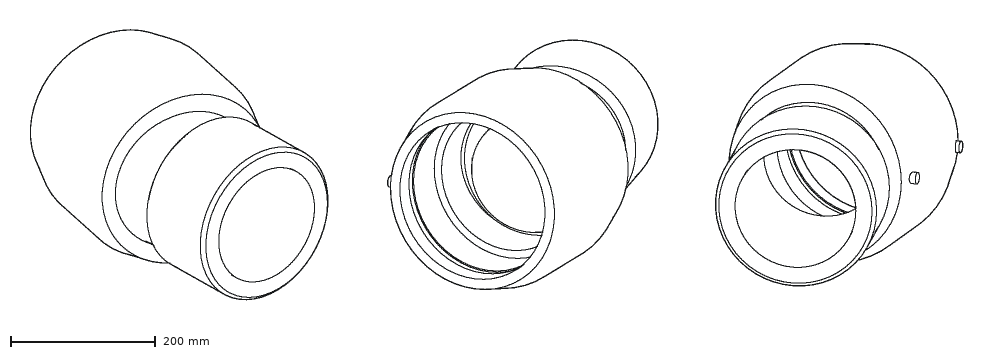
import cadquery as cq
import math

socket_length = 224.0
socket_diameter = 282.0
socket_end_diameter = 254.5
socket_taper_length = 52.5

socket_bore_diameter = 225.0
stop_depth = 104.5
groove_start = 27.5
groove_end = 41.5
groove_diameter = 229.0

bend_angle = 12.0
spigot_diameter = socket_bore_diameter
spigot_bore_diameter = 168.5
neck_diameter = 202.5
shoulder_start = 47.0
shoulder_length = 11.0
spigot_end = 182.5
end_chamfer = 5.5

flare_start = -34.0
flare_end = -4.2
flare_angle = 10.0

chamber_diameter = neck_diameter
chamber_end = -38.2
nozzle_tip = -83.5
nozzle_tip_angle = 8.0
nozzle_root_diameter = 213.3

terminal_diameter = 16.0
terminal_inset = 26.5
terminal_root = 123.0


def turned_around_x(profile):
    """Revolve (position, radius) points around the X axis."""
    return cq.Workplane("XY").polyline(profile).close().revolve(360, (0, 0, 0), (1, 0, 0))


def on_spigot_axis(body):
    """Move a body built along X from the origin onto the tilted spigot axis."""
    return body.rotate((0, 0, 0), (0, 0, 1), bend_angle).translate((socket_length, 0, 0))


def cylinder_along_x(start, end, diameter):
    return cq.Workplane("YZ").workplane(offset=start).circle(diameter / 2).extrude(end - start)


def make_socket():
    return turned_around_x([
        (0, 0),
        (0, socket_end_diameter / 2),
        (socket_taper_length, socket_diameter / 2),
        (socket_length - socket_taper_length, socket_diameter / 2),
        (socket_length, socket_end_diameter / 2),
        (socket_length, 0),
    ])


def make_spigot():
    neck_radius = neck_diameter / 2
    spigot_radius = spigot_diameter / 2
    flare_radius = neck_radius + (flare_end - flare_start) * math.tan(math.radians(flare_angle))
    return on_spigot_axis(turned_around_x([
        (flare_start, 0),
        (flare_start, flare_radius),
        (flare_end, neck_radius),
        (shoulder_start, neck_radius),
        (shoulder_start + shoulder_length, spigot_radius),
        (spigot_end - end_chamfer, spigot_radius),
        (spigot_end, spigot_radius - end_chamfer),
        (spigot_end, 0),
    ]))


def make_terminals():
    positions = [(terminal_inset, 0), (socket_length - terminal_inset, 0)]
    return (
        cq.Workplane("XZ").workplane(offset=-terminal_root)
        .pushPoints(positions)
        .circle(terminal_diameter / 2)
        .extrude(terminal_root - socket_diameter / 2)
    )


def make_nozzle():
    tip_radius = spigot_bore_diameter / 2
    root_radius = nozzle_root_diameter / 2
    nozzle_length = chamber_end - nozzle_tip
    chord_angle = math.atan2(root_radius - tip_radius, nozzle_length)
    half_sweep = chord_angle - math.radians(nozzle_tip_angle)
    chord_length = math.hypot(nozzle_length, root_radius - tip_radius)
    bow = chord_length / 2 * math.tan(half_sweep / 2)
    arc_middle = (
        (nozzle_tip + chamber_end) / 2 + bow * math.sin(chord_angle),
        (tip_radius + root_radius) / 2 - bow * math.cos(chord_angle),
    )
    profile = (
        cq.Workplane("XY")
        .moveTo(nozzle_tip, 0)
        .lineTo(nozzle_tip, tip_radius)
        .threePointArc(arc_middle, (chamber_end, root_radius))
        .lineTo(chamber_end, 0)
        .close()
    )
    return on_spigot_axis(profile.revolve(360, (0, 0, 0), (1, 0, 0)))


def make_chamber():
    bore = cylinder_along_x(stop_depth, socket_length + neck_diameter / 2, chamber_diameter)
    reach = on_spigot_axis(cylinder_along_x(-2 * socket_length, chamber_end, 2 * socket_diameter))
    return bore.intersect(reach).cut(make_nozzle())


socket_bore = cylinder_along_x(0, stop_depth, socket_bore_diameter)
seal_groove = cylinder_along_x(groove_start, groove_end, groove_diameter)
spigot_bore = on_spigot_axis(cylinder_along_x(nozzle_tip, spigot_end, spigot_bore_diameter))

result = (
    make_socket()
    .union(make_spigot())
    .union(make_terminals())
    .cut(socket_bore)
    .cut(seal_groove)
    .cut(make_chamber())
    .cut(spigot_bore)
)